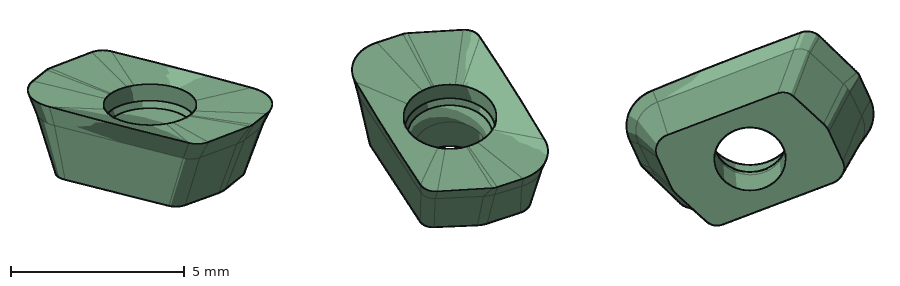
import cadquery as cq
import math

BAND_Z = 1.79
TOP_Z = 2.4
RIM_Z = 2.16

BASE_CORNERS = [(1.82, -1.69, 0.415), (2.44, -0.13, 0.76), (2.44, 1.61, 0.555)]
BAND_CORNERS = [(2.435, -1.95, 0.415), (3.115, -0.23, 0.97), (3.17, 1.83, 1.04)]
TOP_CORNERS = [(2.76, -2.1, 0.485), (3.46, -0.21, 0.415), (3.46, 1.91, 1.26)]
CUTTING_EDGE_SAG = 0.03

RIM_RADIUS = 1.335
SEAT_RADIUS = 1.3
SEAT_Z = 1.65
THROAT_RADIUS = 1.22
THROAT_Z = 1.445
BORE_RADIUS = 2.05 / 2
BORE_Z = 0.975


def corner_round(previous, corner, following):
    """Start, middle and end of the tangent arc that rounds a corner."""
    point = cq.Vector(*corner[:2])
    radius = corner[2]
    to_previous = (cq.Vector(*previous[:2]) - point).normalized()
    to_following = (cq.Vector(*following[:2]) - point).normalized()
    half_angle = to_previous.getAngle(to_following) / 2
    tangent_length = radius / math.tan(half_angle)
    middle_distance = radius / math.sin(half_angle) - radius
    bisector = (to_previous + to_following).normalized()
    return (
        point + to_previous * tangent_length,
        point + bisector * middle_distance,
        point + to_following * tangent_length,
    )


def outline_edges(half_corners, z, long_side_sag=0.0):
    """Closed loop of alternating corner arcs and sides at height z."""
    lift = cq.Vector(0, 0, z)
    corners = half_corners + [(-x, -y, radius) for x, y, radius in half_corners]
    count = len(corners)
    rounds = [
        corner_round(corners[i - 1], corners[i], corners[(i + 1) % count]) for i in range(count)
    ]
    edges = []
    for i in range(count):
        start, middle, end = [point + lift for point in rounds[i]]
        side_end = rounds[(i + 1) % count][0] + lift
        edges.append(cq.Edge.makeThreePointArc(start, middle, end))
        is_long_side = i % len(half_corners) == len(half_corners) - 1
        if is_long_side and long_side_sag:
            along = (side_end - end).normalized()
            outward = along.cross(cq.Vector(0, 0, 1))
            bow_point = (end + side_end) * 0.5 + outward * long_side_sag
            edges.append(cq.Edge.makeThreePointArc(end, bow_point, side_end))
        else:
            edges.append(cq.Edge.makeLine(end, side_end))
    return edges


def rim_edges(outline):
    """Circle at the hole rim, split at the directions of the outline's edge ends."""
    angles = [math.atan2(edge.startPoint().y, edge.startPoint().x) for edge in outline]
    edges = []
    for i, start in enumerate(angles):
        sweep = (angles[(i + 1) % len(angles)] - start) % math.tau
        points = [
            cq.Vector(RIM_RADIUS * math.cos(angle), RIM_RADIUS * math.sin(angle), RIM_Z)
            for angle in (start, start + sweep / 2, start + sweep)
        ]
        edges.append(cq.Edge.makeThreePointArc(*points))
    return edges


def ruled_faces(first_loop, second_loop):
    """Ruled faces joining matching edges of two loops."""
    return [cq.Face.makeRuledSurface(first, second) for first, second in zip(first_loop, second_loop)]


def insert_body():
    """Tapered body with an upper band and a top dished down to the hole rim."""
    base = outline_edges(BASE_CORNERS, 0)
    band = outline_edges(BAND_CORNERS, BAND_Z)
    top = outline_edges(TOP_CORNERS, TOP_Z, CUTTING_EDGE_SAG)
    rim = rim_edges(top)
    faces = ruled_faces(base, band) + ruled_faces(band, top) + ruled_faces(top, rim)
    for loop in (base, rim):
        faces.append(cq.Face.makeFromWires(cq.Wire.assembleEdges(loop)))
    return cq.Workplane(cq.Solid.makeSolid(cq.Shell.makeShell(faces)).fix())


def screw_hole():
    """Revolved cutter: tapered entry, conical seat and a rounded throat tangent to the bore."""
    radial_step = THROAT_RADIUS - BORE_RADIUS
    height_step = THROAT_Z - BORE_Z
    throat_round = (radial_step**2 + height_step**2) / (2 * radial_step)
    half_sweep = math.asin(height_step / throat_round) / 2
    throat_middle = (
        BORE_RADIUS + throat_round * (1 - math.cos(half_sweep)),
        BORE_Z + throat_round * math.sin(half_sweep),
    )
    return (
        cq.Workplane("XZ")
        .moveTo(0, 0)
        .lineTo(BORE_RADIUS, 0)
        .lineTo(BORE_RADIUS, BORE_Z)
        .threePointArc(throat_middle, (THROAT_RADIUS, THROAT_Z))
        .lineTo(SEAT_RADIUS, SEAT_Z)
        .lineTo(RIM_RADIUS, RIM_Z)
        .lineTo(0, RIM_Z)
        .close()
        .revolve(360, (0, 0, 0), (0, 1, 0))
    )


result = cq.Workplane(insert_body().cut(screw_hole()).solids().val())